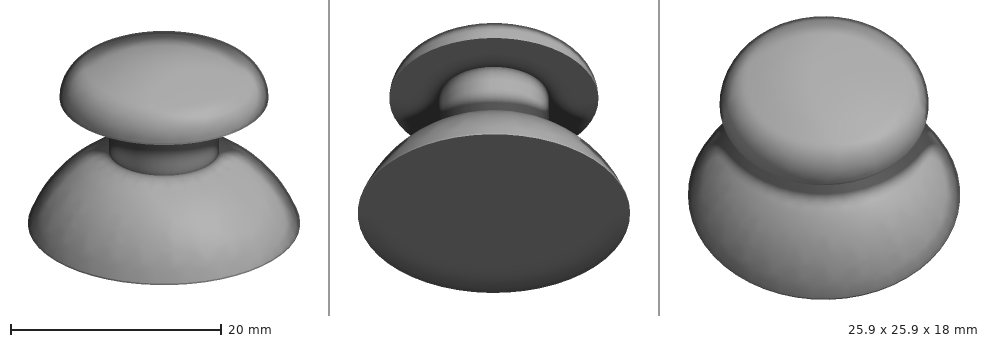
import cadquery as cq
import math

base_radius = 12.95
base_rim_height = 0.15
bell_top_height = 7.77
bell_bulge = 1.2
stem_radius = 10.5 / 2
cap_bottom_height = 13.42
cap_rim_height = 0.18
cap_radius = 9.95
crown_radius = 7.35
crown_edge_height = 16.75
shoulder_bulge = 0.67
total_height = 18.0


def bulged_midpoint(start, end, bulge):
    """Middle point of an arc from start to end, bulging to the right of travel."""
    run = end[0] - start[0]
    rise = end[1] - start[1]
    chord = math.hypot(run, rise)
    return (
        (start[0] + end[0]) / 2 + bulge * rise / chord,
        (start[1] + end[1]) / 2 - bulge * run / chord,
    )


bell_bottom = (base_radius, base_rim_height)
bell_top = (stem_radius, bell_top_height)
shoulder_bottom = (cap_radius, cap_bottom_height + cap_rim_height)
crown_edge = (crown_radius, crown_edge_height)
crown_apex = (0, total_height)

crown_rise = total_height - crown_edge_height
crown_sphere_radius = (crown_radius**2 + crown_rise**2) / (2 * crown_rise)
crown_half_angle = math.asin(crown_radius / crown_sphere_radius) / 2
crown_middle = (
    crown_sphere_radius * math.sin(crown_half_angle),
    total_height - crown_sphere_radius * (1 - math.cos(crown_half_angle)),
)

result = (
    cq.Workplane("XZ")
    .lineTo(base_radius, 0)
    .lineTo(*bell_bottom)
    .threePointArc(bulged_midpoint(bell_bottom, bell_top, bell_bulge), bell_top)
    .lineTo(stem_radius, cap_bottom_height)
    .lineTo(cap_radius, cap_bottom_height)
    .lineTo(*shoulder_bottom)
    .threePointArc(bulged_midpoint(shoulder_bottom, crown_edge, shoulder_bulge), crown_edge)
    .threePointArc(crown_middle, crown_apex)
    .close()
    .revolve(360, (0, 0, 0), (0, 1, 0))
)